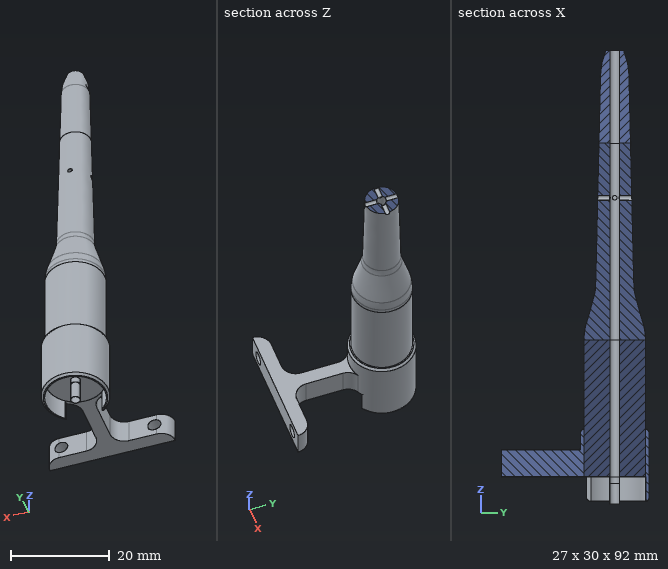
import cadquery as cq
import math


tube_radius = 1.0
tube_bore_radius = 0.9
tube_joint_z = 4.1

total_height = 92.0
tip_end_radius = 1.8
tip_dome_z = 86.9
tip_dome_radius = 2.9
tip_joint_z = 73.1
taper_bottom_z = 43.2
taper_bottom_radius = 4.0
taper_slope = (taper_bottom_radius - tip_dome_radius) / (tip_dome_z - taper_bottom_z)
tip_joint_radius = tip_dome_radius + taper_slope * (tip_dome_z - tip_joint_z)

shoulder_bottom_z = 35.05
shoulder_upper_fillet = 6.0
shoulder_lower_fillet = 7.4
port_diameter = 0.9
port_z = 62.1
port_count = 4

collar_radius = 7.0
collar_bottom_z = 0.55
collar_top_z = 15.2
collar_chamfer = 0.5
slot_width = 7.9

bracket_bottom_z = 5.5
bracket_height = 5.5
bracket_back_y = -23.0
plate_length = 27.0
plate_thickness = 3.0
plate_front_y = bracket_back_y + plate_thickness
stem_width = plate_thickness
bracket_fillet = plate_thickness
mount_hole_diameter = 2.8
mount_hole_spacing = 20.0

barrel_radius = 6.3
barrel_top_z = 33.2
barrel_bottom_z = bracket_bottom_z


def cylinder(radius, bottom_z, top_z):
    return cq.Workplane("XY").workplane(offset=bottom_z).circle(radius).extrude(top_z - bottom_z)


def ring(outer_radius, inner_radius, bottom_z, top_z):
    return cylinder(outer_radius, bottom_z, top_z).cut(cylinder(inner_radius, bottom_z, top_z))


def revolve_about_z(profile):
    return profile.close().revolve(360, (0, 0, 0), (0, 1, 0))


def arc_point(center, radius, angle):
    """Point on a circle, with the angle in radians from +X."""
    return (center[0] + radius * math.cos(angle), center[1] + radius * math.sin(angle))


def make_tip():
    """Domed, bored tip with a long thin tube hanging below it."""
    profile = (
        cq.Workplane("XZ")
        .moveTo(tube_bore_radius, tube_joint_z)
        .lineTo(tube_radius, tube_joint_z)
        .lineTo(tube_radius, tip_joint_z)
        .lineTo(tip_joint_radius, tip_joint_z)
        .lineTo(tip_dome_radius, tip_dome_z)
        .tangentArcPoint((tip_end_radius, total_height), relative=False)
        .lineTo(tube_bore_radius, total_height)
    )
    return revolve_about_z(profile)


def make_nozzle():
    """Tapered sleeve that widens through a smooth shoulder to the barrel diameter."""
    profile = (
        cq.Workplane("XZ")
        .moveTo(tube_radius, barrel_top_z)
        .lineTo(barrel_radius, barrel_top_z)
        .lineTo(barrel_radius, shoulder_bottom_z)
        .lineTo(taper_bottom_radius, taper_bottom_z)
        .lineTo(tip_joint_radius, tip_joint_z)
        .lineTo(tube_radius, tip_joint_z)
    )
    nozzle = revolve_about_z(profile)

    shoulder_top_edge = cq.NearestToPointSelector((0, 0, taper_bottom_z))
    shoulder_bottom_edge = cq.NearestToPointSelector((0, 0, shoulder_bottom_z))
    nozzle = nozzle.edges(shoulder_top_edge).fillet(shoulder_upper_fillet)
    nozzle = nozzle.edges(shoulder_bottom_edge).fillet(shoulder_lower_fillet)

    port = cq.Workplane("YZ").center(0, port_z).circle(port_diameter / 2).extrude(taper_bottom_radius)
    for index in range(port_count):
        nozzle = nozzle.cut(port.rotate((0, 0, 0), (0, 0, 1), index * 360 / port_count))
    return nozzle


def make_barrel():
    return ring(barrel_radius, tube_radius, barrel_bottom_z, barrel_top_z)


def make_tail_tube():
    return ring(tube_radius, tube_bore_radius, 0, tube_joint_z)


def make_bracket():
    """T-shaped bracket whose stem flares tangentially into the collar."""
    stem_half = stem_width / 2
    plate_half = plate_length / 2

    end_center = (plate_half - plate_thickness, bracket_back_y)
    fillet_center = (stem_half + bracket_fillet, plate_front_y + bracket_fillet)
    end_middle = arc_point(end_center, plate_thickness, math.pi / 4)
    fillet_middle = arc_point(fillet_center, bracket_fillet, -3 * math.pi / 4)

    flare_x = stem_half + bracket_fillet
    flare_y = -math.sqrt((collar_radius + bracket_fillet) ** 2 - flare_x**2)
    angle_to_axis = math.atan2(-flare_y, -flare_x)
    flare_middle = arc_point((flare_x, flare_y), bracket_fillet, (math.pi + angle_to_axis) / 2)
    flare_end = arc_point((flare_x, flare_y), bracket_fillet, angle_to_axis)

    half = (
        cq.Workplane("XY")
        .workplane(offset=bracket_bottom_z)
        .moveTo(0, bracket_back_y)
        .lineTo(plate_half, bracket_back_y)
        .threePointArc(end_middle, (end_center[0], plate_front_y))
        .lineTo(fillet_center[0], plate_front_y)
        .threePointArc(fillet_middle, (stem_half, fillet_center[1]))
        .lineTo(stem_half, flare_y)
        .threePointArc(flare_middle, flare_end)
        .lineTo(0, flare_end[1])
        .close()
        .extrude(bracket_height)
    )
    return half.union(half.mirror("YZ"))


def make_clamp():
    """Chamfered collar with its bracket, and a slot in the wall below the bracket."""
    collar = cylinder(collar_radius, collar_bottom_z, collar_top_z)
    collar = collar.faces("<Z or >Z").edges().chamfer(collar_chamfer)
    clamp = collar.union(make_bracket())

    bore = cylinder(barrel_radius, collar_bottom_z, collar_top_z)
    slot = (
        cq.Workplane("XY")
        .box(slot_width, collar_radius, bracket_bottom_z, centered=(True, False, False))
        .translate((0, -collar_radius, 0))
    )
    mount_holes = (
        cq.Workplane("XZ")
        .center(0, bracket_bottom_z + bracket_height / 2)
        .rarray(mount_hole_spacing, 0.9, 2, 1)
        .circle(mount_hole_diameter / 2)
        .extrude(-bracket_back_y)
    )
    return clamp.cut(bore).cut(slot).cut(mount_holes)


tip = make_tip()
nozzle = make_nozzle()
barrel = make_barrel()
clamp = make_clamp()
tail_tube = make_tail_tube()

bodies = [tip, nozzle, barrel, clamp, tail_tube]
result = cq.Compound.makeCompound([body.solids().val() for body in bodies])